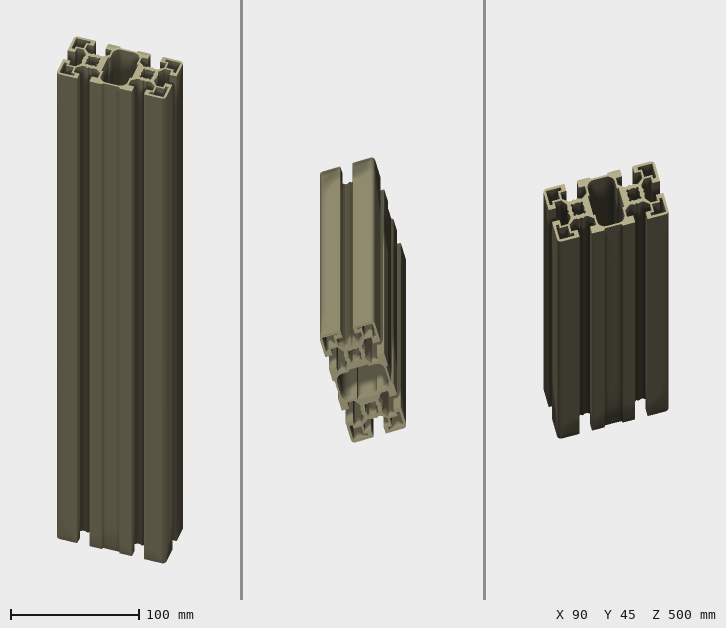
import cadquery as cq
import math

module = 45.0
width = 2 * module
length = 500.0
half_module = module / 2
corner_radius = 3.0

slot_half_opening = 5.0
slot_half_width = 10.0
lip_depth = 6.0
wall_depth = 11.5
floor_half_width = 5.5
floor_edge_depth = 15.0
lip_radius = 0.5
ridge_half_width = 3.5
ridge_depth = 14.0
floor_groove_half_width = 1.5
floor_groove_depth = 1.0

core_diameter = 10.0
core_notch_width = 2.0
core_notch_span = 13.0

skin = 2.0
web = 1.5
ear_width = 2.5
ear_end = 14.0

hollow_half_width = half_module - slot_half_width - web
hollow_half_height = 19.5
hollow_radius = 6.0
waist_half_width = 12.5
waist_half_height = 8.0

groove_half_width = 6.5
groove_taper = 1.0
groove_depth = 1.5


def prism(points):
    return cq.Workplane("XY").polyline(points).close().extrude(length)


def with_mirror(shape, plane):
    return shape.union(shape.mirror(plane))


def body():
    block = cq.Workplane("XY").rect(width, module).extrude(length)
    return block.edges("|Z").fillet(corner_radius)


def t_slot():
    """Slot opening toward +Y in a module centred on the origin.

    Its floor rises to a low ridge with a V groove along the top.
    """
    floor_ridge = half_module - ridge_depth
    arc_x = slot_half_opening + lip_radius
    arc_y = half_module - lip_radius
    arc_offset = lip_radius * math.sqrt(0.5)
    half_slot = (
        cq.Workplane("XY")
        .moveTo(0, half_module)
        .lineTo(arc_x, half_module)
        .threePointArc((arc_x - arc_offset, arc_y + arc_offset), (slot_half_opening, arc_y))
        .lineTo(slot_half_opening, half_module - lip_depth)
        .lineTo(slot_half_width, half_module - lip_depth)
        .lineTo(slot_half_width, half_module - wall_depth)
        .lineTo(floor_half_width, half_module - floor_edge_depth)
        .lineTo(ridge_half_width, half_module - floor_edge_depth)
        .lineTo(floor_groove_half_width, floor_ridge)
        .lineTo(0, floor_ridge - floor_groove_depth)
        .close()
        .extrude(length)
    )
    return with_mirror(half_slot, "YZ")


def corner_hollow():
    """Hollow of the +X +Y corner, symmetric about the corner's diagonal."""
    inner = half_module - slot_half_width - web
    half_outline = [
        (skin, skin),
        (ear_end, skin),
        (ear_end, skin + ear_width),
        (inner, skin + ear_width),
    ]
    mirrored = [(b, a) for a, b in reversed(half_outline[1:])]
    outline = half_outline + [(inner, inner)] + mirrored
    return prism([(width / 2 - a, half_module - b) for a, b in outline])


def central_hollow():
    tall = cq.Workplane("XY").rect(2 * hollow_half_width, 2 * hollow_half_height).extrude(length)
    tall = tall.edges("|Z").fillet(hollow_radius)
    waist = cq.Workplane("XY").rect(2 * waist_half_width, 2 * waist_half_height).extrude(length)
    return tall.union(waist)


def face_groove():
    """Tapered groove in the +Y face."""
    floor_y = half_module - groove_depth
    mouth = groove_half_width + groove_taper
    return prism([
        (-mouth, half_module),
        (-groove_half_width, floor_y),
        (groove_half_width, floor_y),
        (mouth, half_module),
    ])


def screw_core():
    """Round hole with four diagonal notches."""
    core = cq.Workplane("XY").circle(core_diameter / 2).extrude(length)
    notch_pair = cq.Workplane("XY").rect(core_notch_span, core_notch_width).extrude(length)
    for angle in (45, -45):
        core = core.union(notch_pair.rotate((0, 0, 0), (0, 0, 1), angle))
    return core


def module_cuts():
    """Slots and core of the +X module."""
    cuts = screw_core()
    slot = t_slot()
    for angle in (0, -90, 180):
        cuts = cuts.union(slot.rotate((0, 0, 0), (0, 0, 1), angle))
    return cuts.translate((half_module, 0, 0))


corners = with_mirror(corner_hollow(), "XZ")
module_pair = with_mirror(module_cuts().union(corners), "YZ")

result = (
    body()
    .cut(module_pair)
    .cut(central_hollow())
    .cut(with_mirror(face_groove(), "XZ"))
)